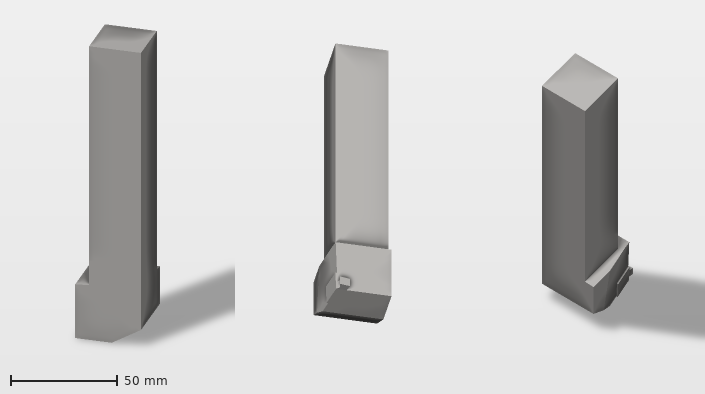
import cadquery as cq
import math

shank_side = 25.5
seam_height = 38.6
tip_drop = 0.3
overall_height = 152.6
shank_top = overall_height - tip_drop

head_width = 32.4
head_depth = 30.5
shoulder_height = 28.4
shoulder_slope = 4.5
chamfer_width = 14.3
chamfer_height = 8.5
relief_start = 12.7
relief_angle = 10.5
relief_lean = 2.0

seat_height = 9.6
seat_length = 11.5
seat_floor = 21.5
root_proud = 0.8
nose_height = 4.1
tip_reach = 36.8
tip_y = 25.6
heel_reach = 36.0
heel_y = 20.8
neck_reach = 33.7
neck_y = 25.2
margin = 7.6


def make_shank():
    return (
        cq.Workplane("XY")
        .box(shank_side, shank_side, shank_top - seam_height, centered=False)
        .translate((-shank_side, 0, seam_height))
    )


def relief_tool(proud=0.0):
    """Large block behind the leaning relief face, moved back from it by the proud distance."""
    size = 2 * (head_width + head_depth)
    block = cq.Workplane("XY").box(size, size, size, centered=(True, False, True)).translate((0, proud, 0))
    block = block.rotate((0, 0, 0), (1, 0, 0), -relief_lean)
    block = block.rotate((0, 0, 0), (0, 0, 1), relief_angle)
    return block.translate((-relief_start, head_depth, shoulder_height))


def shoulder_fall(run):
    return run * math.tan(math.radians(shoulder_slope))


def shoulder_tool(plane, inner, outer, length):
    """Wedge removed above one sloping shoulder, swept along the shoulder."""
    direction = math.copysign(1, outer - inner)
    end = outer + direction * margin
    end_height = shoulder_height - shoulder_fall(abs(end - inner))
    top = seam_height + margin
    return (
        cq.Workplane(plane)
        .polyline([(inner, shoulder_height), (end, end_height), (end, top), (inner, top)])
        .close()
        .extrude(length)
    )


def make_holder_block():
    profile = [
        (0, chamfer_height),
        (0, seam_height),
        (-head_width, seam_height),
        (-head_width, 0),
        (-chamfer_width, 0),
    ]
    block = cq.Workplane("XZ").polyline(profile).close().extrude(-head_depth)
    block = block.cut(shoulder_tool("XZ", -shank_side, -head_width, -head_depth))
    block = block.cut(shoulder_tool("YZ", shank_side, head_depth, -head_width))
    return block.cut(relief_tool())


def make_seat_space():
    """Space of the insert's root: open to the left, back and bottom of the head."""
    floor_top = seat_floor + seat_height * math.tan(math.radians(relief_lean))
    return (
        cq.Workplane("YZ")
        .polyline([(seat_floor, 0), (floor_top, seat_height), (head_depth, seat_height), (head_depth, 0)])
        .close()
        .extrude(seat_length)
        .translate((-head_width, 0, 0))
    )


def make_nose(root_back_y):
    """Cutting nose, tapered towards the head, with its underside falling to the tip."""
    plan = [
        (-head_width, seat_floor),
        (-heel_reach, heel_y),
        (-tip_reach, tip_y),
        (-neck_reach, neck_y),
        (-head_width, root_back_y),
    ]
    nose = cq.Workplane("XY").polyline(plan).close().extrude(nose_height + tip_drop)
    nose = nose.translate((0, 0, -tip_drop))
    side = [(-head_width, 0), (-tip_reach, -tip_drop), (-tip_reach, nose_height), (-head_width, nose_height)]
    envelope = cq.Workplane("XZ").polyline(side).close().extrude(-head_depth)
    return nose.intersect(envelope)


holder_block = make_holder_block()
seat_space = make_seat_space()
root = seat_space.cut(relief_tool(root_proud))
root_back_y = root.faces("<X").edges("<Z").vertices(">Y").val().Y

shank = make_shank()
head = holder_block.cut(seat_space)
insert = root.union(make_nose(root_back_y))

result = cq.Compound.makeCompound([shank.val(), head.val(), *insert.solids().vals()])